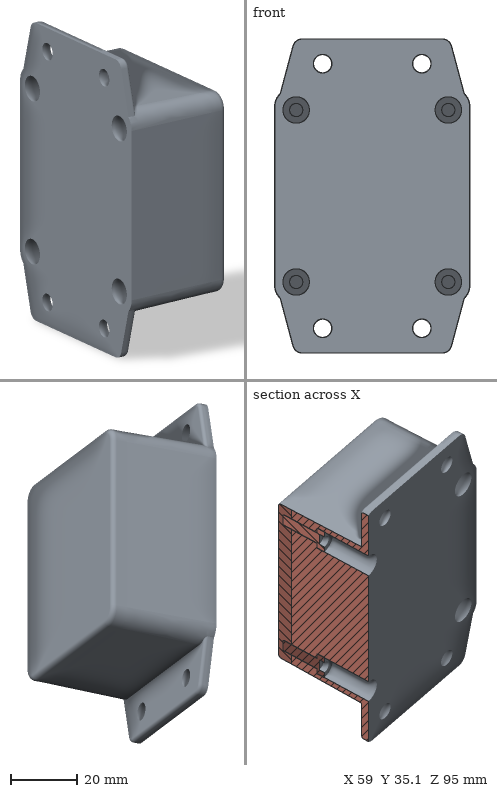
import cadquery as cq
import math


body_width = 58.0
body_length = 64.0
corner_radius = 5.0
housing_depth = 30.0
draft_angle = 1.0
draft_growth = housing_depth * math.tan(math.radians(draft_angle))

lid_thickness = 5.07
lid_edge_radius = 1.5

flange_overhang = 15.0
flange_half_length = body_length / 2 + draft_growth + flange_overhang
flange_half_end_width = 23.4
flange_side_angle = 15.0
flange_thickness = 3.0
flange_corner_radius = 3.0
flange_edge_radius = 1.0
flange_root_z = 25.0

mount_hole_diameter = 5.5
mount_hole_x = 15.0
mount_hole_z = 40.0

screw_x = 23.0
screw_z = 26.0
head_diameter = 8.0
head_height = 3.0
head_seat_y = 20.0
socket_diameter = 4.0
socket_depth = 2.0
shank_diameter = 4.0
shank_end_y = housing_depth + 3.0


def plane_at(y):
    """XZ workplane at position y along the depth; extruding by a negative distance goes towards +Y."""
    return cq.Workplane("XZ", origin=(0, y, 0))


def four_corners(x, z):
    return [(side * x, end * z) for side in (-1, 1) for end in (-1, 1)]


def cylinder(x, z, diameter, y_start, y_end):
    return plane_at(y_start).center(x, z).circle(diameter / 2).extrude(y_start - y_end)


def body_outline():
    """Rounded rectangle shared by the housing and the lid at their joint."""
    return cq.Sketch().rect(body_width, body_length).vertices().fillet(corner_radius)


def make_flange_end(end):
    """Tapered mounting tab at the +Z (end = 1) or -Z (end = -1) side."""
    taper_run = flange_half_length - flange_root_z
    root_half_width = flange_half_end_width + taper_run * math.tan(math.radians(flange_side_angle))
    root_z = end * flange_root_z
    tip_z = end * flange_half_length
    tab = (
        plane_at(0)
        .polyline([
            (-root_half_width, root_z),
            (-flange_half_end_width, tip_z),
            (flange_half_end_width, tip_z),
            (root_half_width, root_z),
        ])
        .close()
        .extrude(-flange_thickness)
    )
    tip_face = ">Z" if end > 0 else "<Z"
    tab = tab.faces(tip_face).edges("|Y").fillet(flange_corner_radius)
    return tab.faces(tip_face).edges(">Y").fillet(flange_edge_radius)


def make_housing():
    housing = plane_at(housing_depth).placeSketch(body_outline()).extrude(housing_depth, taper=-draft_angle)
    for end in (-1, 1):
        housing = housing.union(make_flange_end(end))
    for x, z in four_corners(mount_hole_x, mount_hole_z):
        housing = housing.cut(cylinder(x, z, mount_hole_diameter, 0, flange_thickness))
    for x, z in four_corners(screw_x, screw_z):
        housing = housing.cut(cylinder(x, z, head_diameter, 0, head_seat_y))
        housing = housing.cut(cylinder(x, z, shank_diameter, head_seat_y, housing_depth))
    return housing


def make_lid():
    lid = plane_at(housing_depth).placeSketch(body_outline()).extrude(-lid_thickness)
    lid = lid.faces(">Y").edges().fillet(lid_edge_radius)
    for x, z in four_corners(screw_x, screw_z):
        lid = lid.cut(cylinder(x, z, shank_diameter, housing_depth, shank_end_y))
    return lid


def make_screw(x, z):
    """Cylinder-head screw with a round socket facing the mounting face."""
    head_top_y = head_seat_y - head_height
    head = cylinder(x, z, head_diameter, head_top_y, head_seat_y)
    shank = cylinder(x, z, shank_diameter, head_seat_y, shank_end_y)
    socket = cylinder(x, z, socket_diameter, head_top_y, head_top_y + socket_depth)
    return head.union(shank).cut(socket)


housing = make_housing()
lid = make_lid()
screws = [make_screw(x, z) for x, z in four_corners(screw_x, screw_z)]

result = cq.Compound.makeCompound([
    *housing.solids().vals(),
    *lid.solids().vals(),
    *[screw.solids().val() for screw in screws],
])